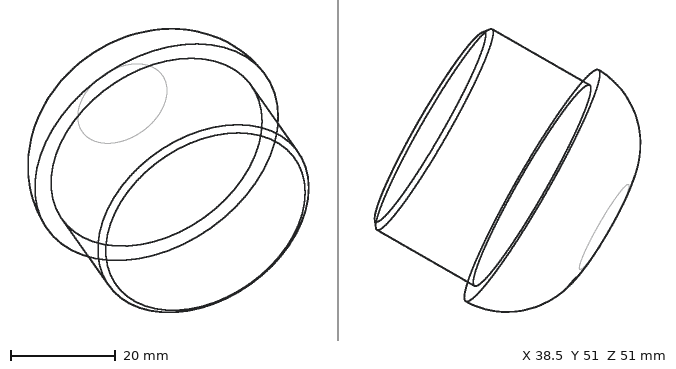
import cadquery as cq
import math

total_length = 38.5
head_diameter = 51.0
head_length = 15.9
face_diameter = 18.7
shank_diameter = 44.2
chamfer_length = 0.95
chamfer_depth = 1.2

head_radius = head_diameter / 2
face_radius = face_diameter / 2
shank_radius = shank_diameter / 2

dome_rise = head_radius - face_radius
dome_radius = (head_length**2 + dome_rise**2) / (2 * head_length)
rim_angle = math.atan2(dome_rise, dome_radius - head_length)
dome_middle = (
    dome_radius * (1 - math.cos(rim_angle / 2)),
    face_radius + dome_radius * math.sin(rim_angle / 2),
)

profile = (
    cq.Workplane("XY")
    .moveTo(0, 0)
    .lineTo(0, face_radius)
    .threePointArc(dome_middle, (head_length, head_radius))
    .lineTo(head_length, shank_radius)
    .lineTo(total_length - chamfer_length, shank_radius)
    .lineTo(total_length, shank_radius - chamfer_depth)
    .lineTo(total_length, 0)
    .close()
)

result = profile.revolve(360, (0, 0, 0), (1, 0, 0))